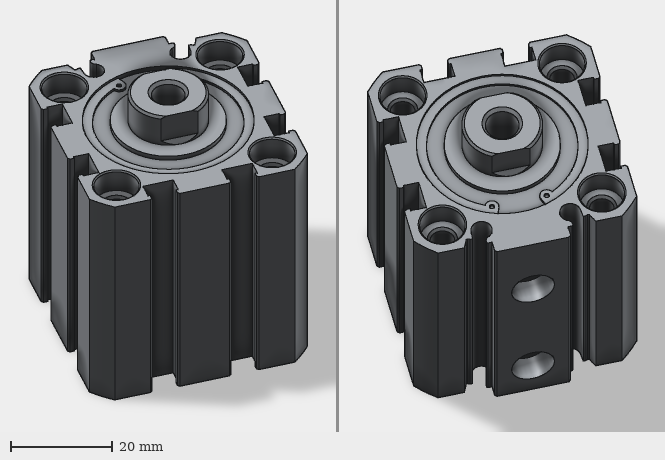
import cadquery as cq
import math


body_width = 45.5
body_height = 49.0
corner_round_d = 59.0
half_width = body_width / 2

boss_projection = 2.5
boss_width = 15.5
edge_chamfer = 0.4
port_mouth_d = 8.7
port_floor_d = 8.35
port_depth = 5.0
port_heights = (8.0, 34.0)

slot_offset = 8.25
slot_mouth_width = 5.35
slot_inner_width = 6.3
slot_lip_depth = 1.3
slot_depth = 4.45

groove_r = 2.1
groove_x = -19.4
groove_y = 9.05
groove_crease_angle = 213.8
groove_shoulder_x = -22.3
groove_shoulder_y = 8.8
groove_shoulder_chamfer = 0.2
groove_lip_outer_y = 13.4
groove_lip_inner_x = -20.9
groove_lip_inner_y = 12.55
groove_nose_x = -20.8
groove_nose_y = 12.25
groove_wall_x = -21.05
groove_wall_top_y = 11.8
groove_wall_bottom_y = 11.3

mount_offset = 16.25
mount_hole_d = 4.92
mount_hole_rim_d = 6.0
mount_bore_d = 9.0
mount_bore_rim_d = 9.6
mount_bore_depth = 5.0

recess_d = 34.0
recess_depth = 1.0
collar_d = 23.0
ring_inner_d = 30.0
ring_drop = 0.5
ring_lug_r = 1.4
ring_hole_d = 1.0
ring_lug_center_r = 15.05
ring_lug_angle = 21.8

rod_d = 16.0
rod_projection = 7.0
rod_embedded = 25.0
rod_chamfer = 0.5
rod_flat_width = 14.0
rod_flat_height = 6.0
rod_thread_d = 6.65
rod_thread_rim_d = 8.0
rod_thread_depth = 13.0
rod_top = body_height + rod_projection
rod_bottom = body_height - rod_embedded


def cylinder(diameter, bottom, top, x=0.0, y=0.0):
    """Upright cylinder between two heights."""
    return cq.Workplane("XY", origin=(x, y, bottom)).circle(diameter / 2).extrude(top - bottom)


def countersink(hole_d, rim_d, rim_height, x=0.0, y=0.0):
    """45 degree cone that opens a hole to its rim diameter."""
    depth = (rim_d - hole_d) / 2
    cone = cq.Solid.makeCone(hole_d / 2, rim_d / 2, depth, pnt=cq.Vector(x, y, rim_height - depth))
    return cq.Workplane(obj=cone)


def make_blank():
    """Square block with its corners turned to a round and the port boss."""
    block = cq.Workplane("XY").rect(body_width, body_width).extrude(body_height)
    block = block.intersect(cylinder(corner_round_d, 0, body_height))
    boss = (
        cq.Workplane("XY", origin=(-half_width, 0, 0))
        .rect(2 * boss_projection, boss_width)
        .extrude(body_height)
        .edges("|Z and <X")
        .chamfer(edge_chamfer)
    )
    return block.union(boss)


def make_t_slot():
    """T-slot cutter opening at the +X face, with chamfered mouth edges."""
    mouth = slot_mouth_width / 2
    inner = slot_inner_width / 2
    lip_x = half_width - slot_lip_depth
    floor_x = half_width - slot_depth
    chamfer_x = half_width - edge_chamfer
    flare = mouth + edge_chamfer
    return (
        cq.Workplane("XY")
        .moveTo(floor_x, -inner)
        .lineTo(lip_x, -inner)
        .lineTo(lip_x, -mouth)
        .lineTo(chamfer_x, -mouth)
        .lineTo(half_width, -flare)
        .lineTo(half_width, flare)
        .lineTo(chamfer_x, mouth)
        .lineTo(lip_x, mouth)
        .lineTo(lip_x, inner)
        .lineTo(floor_x, inner)
        .close()
        .extrude(body_height)
    )


def make_sensor_groove():
    """Round groove on the +Y side of the boss, with a hooked lip and a rounded shoulder at its mouth."""
    crease_angle = math.radians(groove_crease_angle)
    crease = (
        groove_x + groove_r * math.cos(crease_angle),
        groove_y + groove_r * math.sin(crease_angle),
    )
    return (
        cq.Workplane("XY")
        .moveTo(-half_width, groove_shoulder_y - groove_shoulder_chamfer)
        .lineTo(-half_width + groove_shoulder_chamfer, groove_shoulder_y)
        .lineTo(groove_shoulder_x, groove_shoulder_y)
        .tangentArcPoint(crease, relative=False)
        .threePointArc((groove_x + groove_r, groove_y), (groove_x, groove_y + groove_r))
        .lineTo(groove_wall_x, groove_wall_bottom_y)
        .lineTo(groove_wall_x, groove_wall_top_y)
        .lineTo(groove_nose_x, groove_nose_y)
        .lineTo(groove_lip_inner_x, groove_lip_inner_y)
        .lineTo(-half_width, groove_lip_outer_y)
        .close()
        .extrude(body_height)
    )


def make_mount_hole(x, y):
    """Through hole with a counterbore, both countersunk."""
    bore_floor = body_height - mount_bore_depth
    return (
        cylinder(mount_hole_d, 0, body_height, x, y)
        .union(countersink(mount_hole_d, mount_hole_rim_d, bore_floor, x, y))
        .union(cylinder(mount_bore_d, bore_floor, body_height, x, y))
        .union(countersink(mount_bore_d, mount_bore_rim_d, body_height, x, y))
    )


def make_port(height):
    """Slightly tapered blind port in the face of the boss."""
    mouth_center = cq.Vector(-half_width - boss_projection, 0, height)
    inward = cq.Vector(1, 0, 0)
    cone = cq.Solid.makeCone(port_mouth_d / 2, port_floor_d / 2, port_depth, mouth_center, inward)
    return cq.Workplane(obj=cone)


def make_retaining_ring():
    """Open ring with a drilled lug at each end; the opening faces -X."""
    bottom = body_height - recess_depth
    top = body_height - ring_drop
    gap_angle = math.radians(ring_lug_angle)
    gap_x = -recess_d * math.cos(gap_angle)
    gap_y = recess_d * math.sin(gap_angle)
    gap = (
        cq.Workplane("XY", origin=(0, 0, bottom))
        .polyline([(0, 0), (gap_x, gap_y), (gap_x, -gap_y)])
        .close()
        .extrude(recess_depth)
    )
    envelope = cylinder(recess_d, bottom, top)
    ring = envelope.cut(cylinder(ring_inner_d, bottom, top)).cut(gap)
    for side in (1, -1):
        angle = 180 - side * ring_lug_angle
        lug_place = cq.Workplane("XY", origin=(0, 0, bottom)).transformed(rotate=(0, 0, angle))
        lug_place = lug_place.center(ring_lug_center_r, 0)
        thickness = top - bottom
        tab_length = ring_lug_r + recess_d / 2 - ring_lug_center_r
        lug = lug_place.circle(ring_lug_r).extrude(thickness)
        tab = lug_place.center(tab_length / 2, 0).rect(tab_length, 2 * ring_lug_r).extrude(thickness)
        hole = lug_place.circle(ring_hole_d / 2).extrude(thickness)
        ring = ring.union(lug.union(tab).intersect(envelope)).cut(hole)
    return ring


def make_housing():
    """Complete housing: profile, grooves, holes, ports, rod cover and rod guide."""
    housing = make_blank()

    for side_angle in (0, 90, -90):
        for offset in (slot_offset, -slot_offset):
            slot = make_t_slot().translate((0, offset, 0))
            housing = housing.cut(slot.rotate((0, 0, 0), (0, 0, 1), side_angle))

    groove = make_sensor_groove()
    housing = housing.cut(groove).cut(groove.mirror("XZ"))

    for x in (-mount_offset, mount_offset):
        for y in (-mount_offset, mount_offset):
            housing = housing.cut(make_mount_hole(x, y))

    for height in port_heights:
        housing = housing.cut(make_port(height))

    recess_floor = body_height - recess_depth
    recess = cylinder(recess_d, recess_floor, body_height).cut(cylinder(collar_d, recess_floor, body_height))
    housing = housing.cut(recess).union(make_retaining_ring())

    return housing.cut(cylinder(rod_d, rod_bottom, body_height))


def make_rod():
    """Piston rod with two wrench flats that run out at 45 degrees, and a blind threaded hole."""
    rod = cylinder(rod_d, rod_bottom, rod_top).faces(">Z").chamfer(rod_chamfer)
    flat_x = rod_flat_width / 2
    flat_bottom = rod_top - rod_flat_height
    outer_x = rod_d / 2
    flat_cutter = (
        cq.Workplane("XZ")
        .polyline(
            [
                (flat_x, rod_top),
                (flat_x, flat_bottom),
                (outer_x, flat_bottom - (outer_x - flat_x)),
                (outer_x, rod_top),
            ]
        )
        .close()
        .extrude(rod_d / 2, both=True)
    )
    rod = rod.cut(flat_cutter).cut(flat_cutter.mirror("YZ"))
    rod = rod.cut(cylinder(rod_thread_d, rod_top - rod_thread_depth, rod_top))
    return rod.cut(countersink(rod_thread_d, rod_thread_rim_d, rod_top))


housing = make_housing()
rod = make_rod()

result = cq.Compound.makeCompound([housing.val(), rod.val()])